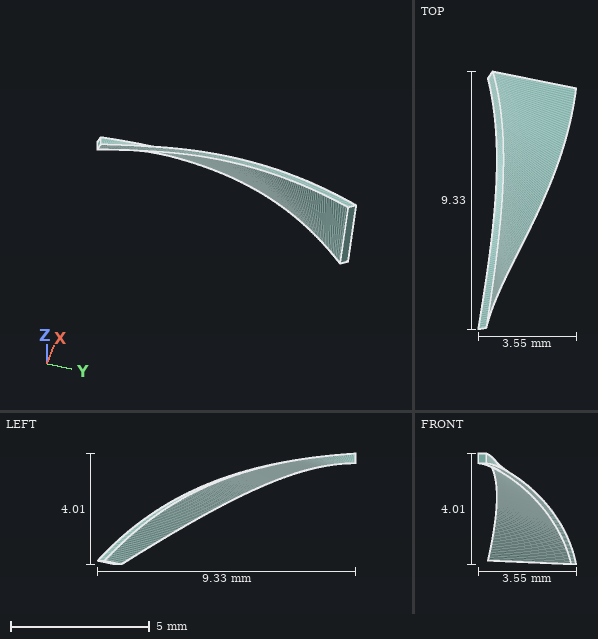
import cadquery as cq


SECTION_COUNT = 131

EDGE_PATH = [
    (0.00, 0.00, 0.00),
    (0.59, 3.56, -0.24),
    (0.98, 6.53, -1.12),
    (0.35, 9.08, -3.88),
]
THICKNESS_VECTOR = [
    (0.30, 0.05, 0.00),
    (0.25, 0.04, 0.00),
    (0.28, 0.27, 0.00),
    (0.18, 0.25, 0.00),
]
WIDTH_VECTOR = [
    (0.00, 0.00, -0.36),
    (-0.03, -1.40, -0.11),
    (1.81, -1.90, -0.50),
    (3.02, -0.61, -0.13),
]


def bezier_point(control_points, t):
    """Point at parameter t (0 at the root, 1 at the tip) of a cubic Bezier curve."""
    start, leave, arrive, end = [cq.Vector(*point) for point in control_points]
    s = 1 - t
    return start * s**3 + leave * (3 * t * s**2) + arrive * (3 * t**2 * s) + end * t**3


def blade_section(t):
    """Closed parallelogram outline of the blade at parameter t."""
    corner = bezier_point(EDGE_PATH, t)
    thickness = bezier_point(THICKNESS_VECTOR, t)
    width = bezier_point(WIDTH_VECTOR, t)
    corners = [corner, corner + thickness, corner + thickness + width, corner + width]
    return cq.Wire.makePolygon(corners, close=True)


def make_blade():
    """Solid through all sections, with ruled facets between neighbours."""
    last = SECTION_COUNT - 1
    sections = [blade_section(i / last) for i in range(SECTION_COUNT)]
    return cq.Solid.makeLoft(sections, True)


result = cq.Workplane(make_blade())